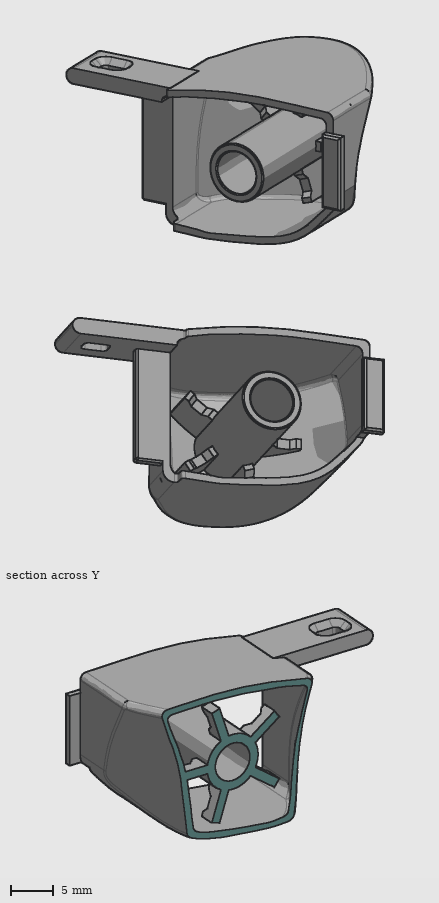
import cadquery as cq
import math


wall = 0.9
hood_left = -12.05
hood_right = 12.47
top_left_z = 7.75
top_right_z = 9.43
bottom_left_z = -10.05
top_bulge = [(-9.77, 8.17), (-5.47, 8.97), (2.6, 9.62), (7.4, 9.55)]
bottom_bulge = [(11.05, -4.0), (7.95, -7.15), (-1.15, -9.85), (-5.7, -10.2)]
right_wall_bottom_z = -1.15
hood_depth = 26.6
bottom_corner_radius = 1.33
top_corner_radius = 0.85
rim_radius = 0.75
cavity_radius = 0.57

crest_x = -1.52
crest_to_right = 12.75
left_power = 2.5
right_power = 2.3
back_levels = [(-10.65, 8.6, 15.93), (-2.3, 8.7, 17.65), (1.52, 9.65, 18.4), (6.1, 11.85, 20.35), (10.65, 14.05, 22.62)]
back_overhang = 0.38
back_wall = 1.0
back_front_y = -1.9

lower_rim_y = 1.55
lower_rim_top_z = -2.3
left_rim_y = 3.2
left_step_x = (-10.65, -9.85)
arm_step_x = (-10.35, -9.95)

arm_left = -24.05
arm_right = -9.95
arm_front_y = 0.6
arm_back_y = 7.22
arm_top_z = 8.17
arm_thickness = 1.98
arm_bottom_z = arm_top_z - arm_thickness
arm_end_flat = 0.005
slot_x = -20.05
slot_y = 4.22
slot_length = 3.25
slot_width = 2.1
slot_corner = 0.6
countersink = 0.8

flange_left = -15.35
flange_bottom_z = -7.75
flange_thickness = 1.05
flange_chamfer = 0.23

tab_left = 11.5
tab_right = 13.95
tab_bottom_z = -2.25
tab_top_z = 6.92
tab_thickness = 1.05
tab_chamfer = 0.25

socket_diameter = 7.25
bore_diameter = 5.2
bore_end_diameter = 4.52
socket_front_y = -1.15
socket_chamfer = 0.15

rib_count = 5
rib_width = 1.2
rib_edge = [(4.25, 11.25), (4.98, 12.0), (6.55, 12.0), (7.15, 11.4), (7.75, 11.4)]

cutter_margin = 0.38


def box(x0, x1, y0, y1, z0, z1):
    return cq.Workplane("XY").box(x1 - x0, y1 - y0, z1 - z0, centered=False).translate((x0, y0, z0))


def toward_axis(point, distance):
    """Point of the outline moved straight towards the socket axis."""
    x, z = point
    share = 1 - distance / math.hypot(x, z)
    return (x * share, z * share)


def hood_prism(inset):
    """Hood outline, moved inwards by inset and run from Y = 0 backwards."""
    left = hood_left + inset
    right = hood_right - inset
    bottom = bottom_left_z + inset
    top_points = [(x, z - inset) for x, z in top_bulge] + [(right, top_right_z - inset)]
    bottom_points = [toward_axis(point, inset) for point in bottom_bulge] + [(left, bottom)]
    prism = (
        cq.Workplane("XZ")
        .moveTo(left, bottom)
        .lineTo(left, top_left_z - inset)
        .spline(top_points, includeCurrent=True)
        .lineTo(right, right_wall_bottom_z)
        .spline(bottom_points, tangents=[(0, -1), (-1, 0)], includeCurrent=True)
        .close()
        .extrude(-hood_depth)
    )
    prism = prism.edges("|Y").edges("<X and <Z").fillet(bottom_corner_radius)
    for side in (">X", "<X"):
        prism = prism.edges("|Y").edges(side).edges(">Z").fillet(top_corner_radius)
    return prism


def back_section(z, left_y, crest_y, inset):
    """Closed wire at height z: a lopsided arch behind a straight front edge."""
    sides = [
        (hood_left - crest_x, crest_y - left_y, left_power, (1, 0.75, 0.5, 0.25, 0)),
        (hood_right - crest_x, crest_to_right, right_power, (0.25, 0.5, 0.75, 1)),
    ]
    points = []
    for reach, drop, power, steps in sides:
        for step in steps:
            points.append((crest_x + reach * step, crest_y - inset - drop * step**power))
    left_end = (hood_left - back_overhang, points[0][1] - back_overhang)
    right_end = (hood_right + back_overhang, points[-1][1] - 2 * back_overhang)
    points = [left_end] + points + [right_end]
    return (
        cq.Workplane("XY", origin=(0, 0, z))
        .moveTo(left_end[0], back_front_y)
        .lineTo(*left_end)
        .spline(points[1:], includeCurrent=True)
        .lineTo(right_end[0], back_front_y)
        .close()
        .wires()
        .val()
    )


def back_limit(inset):
    """Space in front of the back surface, which is moved forwards by inset."""
    wires = [back_section(z, left_y, crest_y, inset) for z, left_y, crest_y in back_levels]
    return cq.Workplane(cq.Solid.makeLoft(wires, False))


def hood_outside():
    """Solid hood with the rim of its back rounded."""
    solid = hood_prism(0).intersect(back_limit(0))
    return solid.faces(">Y").edges().fillet(rim_radius)


def arm():
    """Flat arm with a round end and a slot countersunk from above."""
    blank = box(arm_left, arm_right, arm_front_y, arm_back_y, arm_bottom_z, arm_top_z)
    blank = blank.edges("|Y and <X").fillet(arm_thickness / 2 - arm_end_flat)
    opening = cq.Sketch().rect(slot_length, slot_width).vertices().fillet(slot_corner)
    slot = cq.Workplane("XY", origin=(slot_x, slot_y, arm_bottom_z)).placeSketch(opening).extrude(arm_thickness)
    flare = cq.Workplane("XY", origin=(slot_x, slot_y, arm_top_z - countersink)).placeSketch(opening)
    return blank.cut(slot).cut(flare.extrude(countersink, taper=-45))


def side_flange():
    """Plate from the left wall outwards, as tall as the space below the arm."""
    plate = box(
        flange_left, hood_left + wall, left_rim_y, left_rim_y + flange_thickness, flange_bottom_z, arm_bottom_z
    )
    plate = plate.edges("<X and <Z").chamfer(flange_chamfer)
    return plate.faces("<Y").edges("not (>X or >Z)").chamfer(flange_chamfer)


def clip_tab():
    tab = box(tab_left, tab_right, -tab_thickness, 0, tab_bottom_z, tab_top_z)
    return tab.faces("<Y").edges().chamfer(tab_chamfer)


def rim_step(step_x, near_y, far_y, z0, z1):
    """Cutter that sets the rim back to near_y, and left of a smooth step to far_y."""
    return (
        cq.Workplane("XY", origin=(0, 0, z0))
        .moveTo(hood_right + cutter_margin, back_front_y)
        .lineTo(hood_right + cutter_margin, near_y)
        .lineTo(step_x[1], near_y)
        .spline([(step_x[0], far_y)], tangents=[(-1, 0), (-1, 0)], includeCurrent=True)
        .lineTo(hood_left - cutter_margin, far_y)
        .lineTo(hood_left - cutter_margin, back_front_y)
        .close()
        .extrude(z1 - z0)
    )


def socket_and_ribs():
    """Tube and ribs run the full depth; the hood trims them at its back."""
    blank = cq.Workplane("XZ", origin=(0, socket_front_y, 0)).circle(socket_diameter / 2).extrude(-hood_depth)
    bore = cq.Solid.makeCone(
        bore_diameter / 2, bore_end_diameter / 2, hood_depth, cq.Vector(0, socket_front_y, 0), cq.Vector(0, 1, 0)
    )
    socket = blank.cut(cq.Workplane(bore)).faces("<Y").edges().chamfer(socket_chamfer)
    inner_radius = (socket_diameter + bore_diameter) / 4
    outline = [(inner_radius, rib_edge[0][1])] + rib_edge
    outline += [(rib_edge[-1][0], hood_depth), (inner_radius, hood_depth)]
    rib = cq.Workplane("XY", origin=(0, 0, -rib_width / 2)).polyline(outline).close().extrude(rib_width)
    for index in range(rib_count):
        socket = socket.union(rib.rotate((0, 0, 0), (0, 1, 0), index * 360 / rib_count))
    return socket


outside = hood_outside()
cavity = hood_prism(wall).intersect(back_limit(back_wall))
cavity = cavity.faces(">Y").edges().fillet(cavity_radius)

shell = outside.cut(cavity)
shell = shell.cut(rim_step(arm_step_x, 0, arm_front_y, arm_bottom_z, top_right_z))
shell = shell.cut(rim_step(left_step_x, 0, left_rim_y, lower_rim_top_z, arm_bottom_z))
shell = shell.cut(rim_step(left_step_x, lower_rim_y, left_rim_y, -hood_depth, lower_rim_top_z))

front_space = box(hood_left, hood_right, socket_front_y, 0, bottom_left_z, top_right_z)
inside = socket_and_ribs().intersect(outside.union(front_space))
fittings = arm().union(side_flange()).cut(cavity)

result = shell.union(fittings).union(clip_tab()).union(inside)